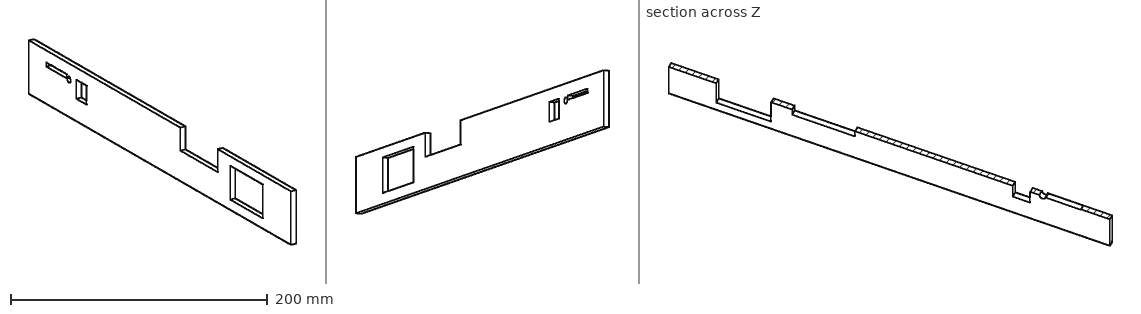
import cadquery as cq

length = 378.0
thickness = 5.0
height = 45.0

notch_left = 218.5
notch_width = 53.5
notch_depth = 19.3

window_left = 290.3
window_width = 47.0
window_height = 28.5
window_drop = 8.0

small_cutout_drop = 10.2
slot_left = 25.0
slot_width = 30.0
slot_height = 3.5
opening_left = 68.5
opening_width = 14.7
opening_height = 16.0

hole_diameter = 5.0
hole_x = 58.0
hole_drop = 13.5


def through_cutout(left, drop, width, depth):
    """Rectangular through cutter whose top edge lies `drop` below the panel's top."""
    bottom = height - drop - depth
    return cq.Workplane("XY").box(width, thickness, depth, centered=False).translate((left, 0, bottom))


def through_hole(x, drop, diameter):
    """Round through cutter running from the front face to the back face."""
    cutter = cq.Workplane("XZ").center(x, height - drop).circle(diameter / 2)
    return cutter.extrude(-thickness)


panel = cq.Workplane("XY").box(length, thickness, height, centered=False)
panel = panel.cut(through_cutout(notch_left, 0, notch_width, notch_depth))
panel = panel.cut(through_cutout(window_left, window_drop, window_width, window_height))
panel = panel.cut(through_cutout(slot_left, small_cutout_drop, slot_width, slot_height))
panel = panel.cut(through_cutout(opening_left, small_cutout_drop, opening_width, opening_height))
panel = panel.cut(through_hole(hole_x, hole_drop, hole_diameter))

result = panel